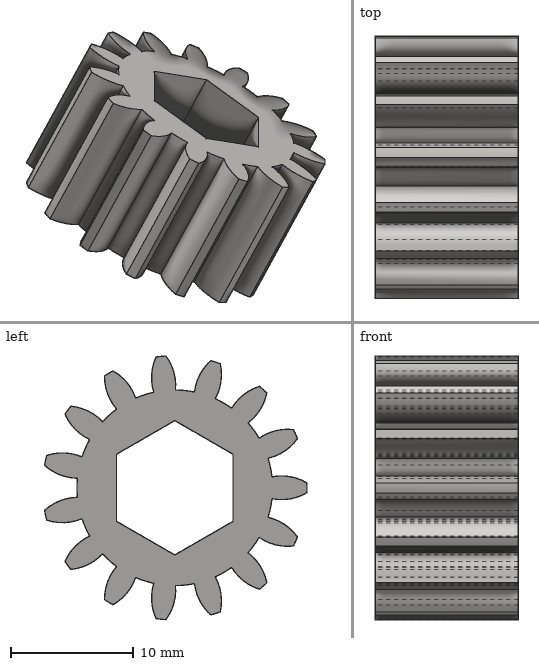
import cadquery as cq
import math

face_width = 11.67
tooth_count = 15
tip_radius = 10.8
root_radius = 8.0
bore_across_flats = 9.48

root_half_thickness = 0.9
flank_middle_radius = 9.48
flank_half_thickness = 0.9
tip_half_thickness = 0.4


def radial_distance(radius, half_thickness):
    """Distance along the tooth centreline to a corner lying on a circle."""
    return math.sqrt(radius**2 - half_thickness**2)


def make_tooth(angle):
    """One tooth with arc flanks, starting inside the hub so that it joins cleanly."""
    inner = root_radius - root_half_thickness
    root = radial_distance(root_radius, root_half_thickness)
    tip = radial_distance(tip_radius, tip_half_thickness)
    return (
        cq.Workplane("YZ")
        .moveTo(inner, -root_half_thickness)
        .lineTo(root, -root_half_thickness)
        .threePointArc((flank_middle_radius, -flank_half_thickness), (tip, -tip_half_thickness))
        .threePointArc((tip_radius, 0), (tip, tip_half_thickness))
        .threePointArc((flank_middle_radius, flank_half_thickness), (root, root_half_thickness))
        .lineTo(inner, root_half_thickness)
        .close()
        .extrude(face_width)
        .rotate((0, 0, 0), (1, 0, 0), angle)
    )


gear = cq.Workplane("YZ").circle(root_radius).extrude(face_width)
for index in range(tooth_count):
    gear = gear.union(make_tooth(180 + index * 360 / tooth_count))

bore_across_corners = bore_across_flats / math.cos(math.pi / 6)
bore = (
    cq.Workplane("YZ")
    .polygon(6, bore_across_corners)
    .extrude(face_width)
    .rotate((0, 0, 0), (1, 0, 0), 90)
)

result = gear.cut(bore)